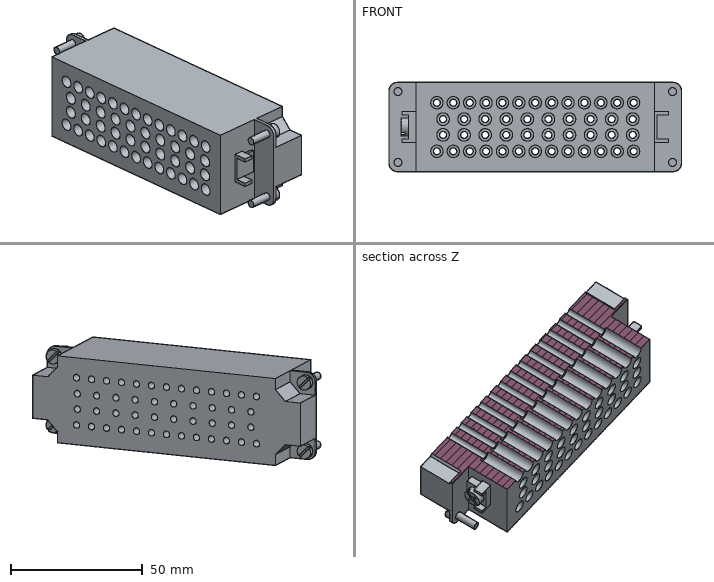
import cadquery as cq

LENGTH = 111.0
DEPTH = 33.3
HEIGHT = 34.0
BODY_LENGTH = 90.4
BODY_END = BODY_LENGTH / 2
BACK = DEPTH / 2
FRONT = -DEPTH / 2

FLANGE_FRONT = 1.5
FLANGE_THICKNESS = 1.3
FLANGE_BACK = FLANGE_FRONT + FLANGE_THICKNESS
FLANGE_CORNER_RADIUS = 3.3

BLOCK_HALF_HEIGHT = 8.4
FLARE_HALF_HEIGHT = 12.7
FLARE_LENGTH = 4.1

SLOT_ANGLE = 45.0

SCREW_X = 52.1
SCREW_Z = 13.4
SHANK_DIAMETER = 3.0
SHANK_LENGTH = 8.7
COLLAR_DIAMETER = 4.7
COLLAR_LENGTH = 0.5
HEAD_DIAMETER = 5.5
HEAD_LENGTH = 2.1
HEAD_SLOT_WIDTH = 0.8
HEAD_SLOT_DEPTH = 0.7

CONTACT_HOLE_DIAMETER = 2.5
COUNTERBORE_DEPTH = 16.6
OUTER_ROW_COUNT = 13
OUTER_ROW_PITCH = 6.2
OUTER_ROW_Z = 9.2
OUTER_COUNTERBORE_DIAMETER = 4.7
INNER_ROW_COUNT = 10
INNER_ROW_PITCH = 8.0
INNER_ROW_Z = 3.0
INNER_ROW_SHIFT = 1.0
INNER_COUNTERBORE_DIAMETER = 4.8

TERMINAL_BACK_Y = 0.1
TERMINAL_FRONT_Y = -8.8
TERMINAL_HEIGHT = 9.1
CHEEK_BACK_Y = -5.0
CHEEK_OUTER_HEIGHT = 11.8
CHEEK_REACH = 5.3
LEFT_TERMINAL_REACH = 2.9
RIGHT_TERMINAL_REACH = 1.0

CLAMP_DIAMETER = 7.0
CLAMP_REACH = 5.7
CLAMP_SLOT_WIDTH = 0.9
CLAMP_SLOT_DEPTH = 1.4
CLAMP_SHORT_SLOT_LENGTH = 4.2


def box_between(x_range, y_range, height):
    """Box over the given X and Y ranges, centred on Z = 0."""
    x_size = abs(x_range[1] - x_range[0])
    y_size = abs(y_range[1] - y_range[0])
    center = (sum(x_range) / 2, sum(y_range) / 2, 0)
    return cq.Workplane("XY").box(x_size, y_size, height).translate(center)


def front_plane(y):
    """Sketch plane at the given Y whose positive extrusion runs towards -Y."""
    return cq.Workplane("XZ", origin=(0, y, 0))


def make_flange():
    plate = front_plane(FLANGE_BACK).rect(LENGTH, HEIGHT).extrude(FLANGE_THICKNESS)
    return plate.edges("|Y").fillet(FLANGE_CORNER_RADIUS)


def make_end_blocks():
    """Both end blocks as one bar running through the body."""
    flare_end = BODY_END + FLARE_LENGTH
    upper = [
        (-LENGTH / 2, BLOCK_HALF_HEIGHT),
        (-flare_end, BLOCK_HALF_HEIGHT),
        (-BODY_END, FLARE_HALF_HEIGHT),
        (BODY_END, FLARE_HALF_HEIGHT),
        (flare_end, BLOCK_HALF_HEIGHT),
        (LENGTH / 2, BLOCK_HALF_HEIGHT),
    ]
    lower = [(x, -z) for x, z in reversed(upper)]
    return front_plane(BACK).polyline(upper + lower).close().extrude(BACK - FLANGE_BACK)


def make_flange_screw(x, z):
    """Slotted head behind the flange, a collar under it and a shank in front of the flange."""
    head_front = FLANGE_BACK + COLLAR_LENGTH
    head_back = head_front + HEAD_LENGTH
    head = front_plane(head_back).center(x, z).circle(HEAD_DIAMETER / 2).extrude(HEAD_LENGTH)
    slot = (
        front_plane(head_back)
        .center(x, z)
        .transformed(rotate=(0, 0, -SLOT_ANGLE))
        .rect(HEAD_DIAMETER, HEAD_SLOT_WIDTH)
        .extrude(HEAD_SLOT_DEPTH)
    )
    collar = front_plane(head_front).center(x, z).circle(COLLAR_DIAMETER / 2).extrude(COLLAR_LENGTH)
    shank = front_plane(FLANGE_FRONT).center(x, z).circle(SHANK_DIAMETER / 2).extrude(SHANK_LENGTH)
    return head.cut(slot), collar, shank


def make_terminal(side, reach):
    """Earth terminal on one end (side is -1 or 1): a plate with a cheek above and one below."""
    face = side * BODY_END
    plate = box_between((face, face + side * reach), (TERMINAL_FRONT_Y, TERMINAL_BACK_Y), TERMINAL_HEIGHT)
    cheek_x = (face, face + side * CHEEK_REACH)
    cheek_y = (TERMINAL_FRONT_Y, CHEEK_BACK_Y)
    cheeks = box_between(cheek_x, cheek_y, CHEEK_OUTER_HEIGHT)
    channel = box_between(cheek_x, cheek_y, TERMINAL_HEIGHT)
    return cheeks.cut(channel).union(plate)


def make_clamp_screw():
    """Round head pointing towards -X with one full-width slot and one short slot across it."""
    center_y = (TERMINAL_FRONT_Y + TERMINAL_BACK_Y) / 2
    tip = cq.Plane(origin=(-BODY_END - CLAMP_REACH, center_y, 0), xDir=(0, 1, 0), normal=(1, 0, 0))
    head = cq.Workplane(tip).circle(CLAMP_DIAMETER / 2).extrude(CLAMP_REACH)
    for length, angle in ((CLAMP_DIAMETER, SLOT_ANGLE), (CLAMP_SHORT_SLOT_LENGTH, -SLOT_ANGLE)):
        slot_plane = cq.Workplane(tip).transformed(rotate=(0, 0, angle))
        slot = slot_plane.rect(length, CLAMP_SLOT_WIDTH).extrude(CLAMP_SLOT_DEPTH)
        head = head.cut(slot)
    return head


def cut_contact_rows(part, count, pitch, shift, row_z, counterbore_diameter):
    """Cut two rows of counterbored holes, one above and one below the centre line."""
    first_x = shift - pitch * (count - 1) / 2
    centers = [(first_x + pitch * i, z) for i in range(count) for z in (-row_z, row_z)]
    plane = front_plane(FRONT).pushPoints(centers)
    through_holes = plane.circle(CONTACT_HOLE_DIAMETER / 2).extrude(-DEPTH)
    counterbores = plane.circle(counterbore_diameter / 2).extrude(-COUNTERBORE_DEPTH)
    return part.cut(through_holes).cut(counterbores)


result = cq.Workplane("XY").box(BODY_LENGTH, DEPTH, HEIGHT)
result = result.union(make_flange()).union(make_end_blocks())
for screw_x in (-SCREW_X, SCREW_X):
    for screw_z in (-SCREW_Z, SCREW_Z):
        for screw_piece in make_flange_screw(screw_x, screw_z):
            result = result.union(screw_piece)
result = result.union(make_terminal(-1, LEFT_TERMINAL_REACH)).union(make_clamp_screw())
result = result.union(make_terminal(1, RIGHT_TERMINAL_REACH))
result = cut_contact_rows(
    result, OUTER_ROW_COUNT, OUTER_ROW_PITCH, 0, OUTER_ROW_Z, OUTER_COUNTERBORE_DIAMETER
)
result = cut_contact_rows(
    result, INNER_ROW_COUNT, INNER_ROW_PITCH, INNER_ROW_SHIFT, INNER_ROW_Z, INNER_COUNTERBORE_DIAMETER
)